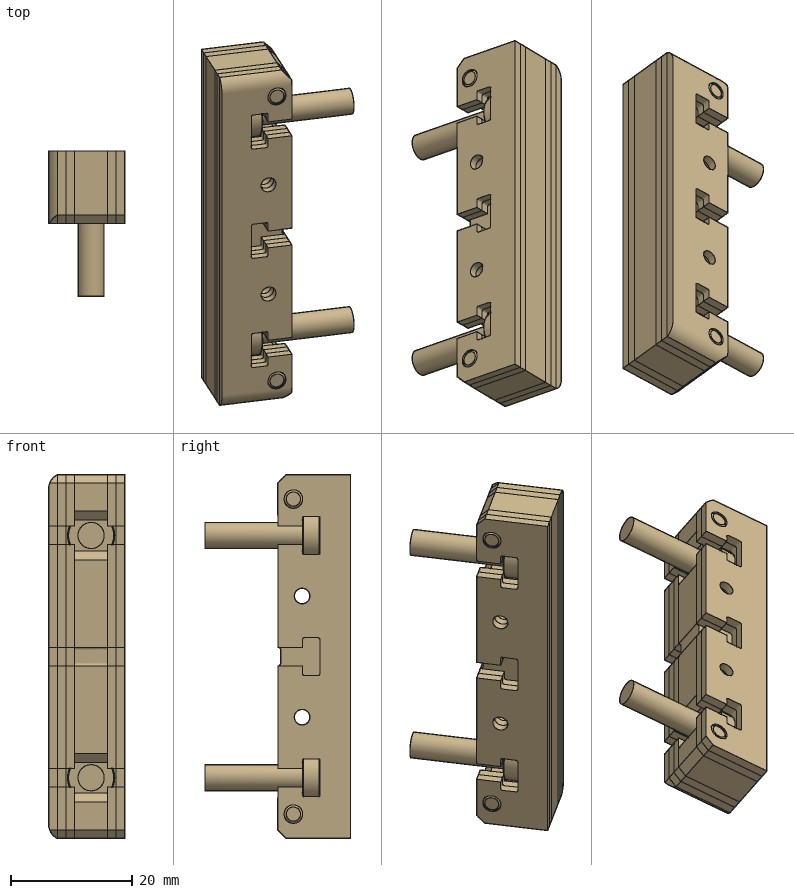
import cadquery as cq
import math

height = 60.0
depth = 12.0
plate_thickness = 1.45
core_thickness = 5.4
front_chamfer = 1.4
cover_round_radius = 2.6

slot_pitch = 20.0
slot_neck_width = 3.05
slot_neck_depth = 4.1
slot_head_width = 6.25
slot_head_depth = 2.9
slot_corner_radius = 0.35

core_neck_width = 5.1
core_pocket_width = 8.05
flare_depth = (core_pocket_width - core_neck_width) / 2
groove_depth = 0.5

bolt_length = 12.0
shank_diameter = 4.3
head_diameter = 7.8
head_chamfer = 0.2

cross_hole_diameter = 2.5
cross_hole_inset = 4.0
cross_hole_z = slot_pitch / 2
pin_diameter = 3.05
pin_inset = 2.6
pin_z = 26.0
pin_chamfer = 0.35

core_left = -core_thickness / 2
core_right = core_thickness / 2
stack_left = core_left - 3 * plate_thickness
stack_right = core_right + 2 * plate_thickness
stack_width = stack_right - stack_left
slot_back = slot_neck_depth + slot_head_depth
bolt_heights = (-slot_pitch, slot_pitch)
slot_heights = (-slot_pitch, 0, slot_pitch)


def block(x_min, x_size, y_min, y_size, z_size, z_center=0.0):
    """Box with its lower X and Y corner given and centred on z_center."""
    box = cq.Workplane("XY").box(x_size, y_size, z_size, centered=(False, False, True))
    return box.translate((x_min, y_min, z_center))


def rod(x_min, length, diameter, y, z):
    """Cylinder along X."""
    return cq.Workplane("YZ", origin=(x_min, y, z)).circle(diameter / 2).extrude(length)


def drilled_blank(x_min, thickness):
    """Full-size plate with chamfered front ends, cross holes and dowel holes."""
    plate = block(x_min, thickness, 0, depth, height)
    plate = plate.faces("<Y").edges("|X").chamfer(front_chamfer)
    for side in (-1, 1):
        cross_hole = rod(x_min, thickness, cross_hole_diameter, cross_hole_inset, side * cross_hole_z)
        pin_hole = rod(x_min, thickness, pin_diameter, pin_inset, side * pin_z)
        plate = plate.cut(cross_hole).cut(pin_hole)
    return plate


def slotted_plate(x_min):
    """Thin plate with three T-slots."""
    plate = drilled_blank(x_min, plate_thickness)
    for z in slot_heights:
        neck = block(x_min, plate_thickness, 0, slot_neck_depth, slot_neck_width, z)
        head = block(x_min, plate_thickness, slot_neck_depth, slot_head_depth, slot_head_width, z)
        head = head.edges("|X").fillet(slot_corner_radius)
        plate = plate.cut(neck).cut(head)
    return plate


def cover_plate(x_min):
    """Slotted plate whose outer top and bottom edges are cut back by a large-radius arc."""
    arc_height = math.sqrt(cover_round_radius**2 - (cover_round_radius - plate_thickness) ** 2)
    arc_start_z = height / 2 - arc_height
    top_waste = (
        cq.Workplane("XZ")
        .moveTo(x_min, arc_start_z)
        .radiusArc((x_min + plate_thickness, height / 2), cover_round_radius)
        .lineTo(x_min, height / 2)
        .close()
        .extrude(-depth)
    )
    return slotted_plate(x_min).cut(top_waste).cut(top_waste.mirror("XY"))


def core_plate():
    """Thick middle plate with two flared bolt pockets and a shallow round-cornered groove."""
    core = drilled_blank(core_left, core_thickness)
    half_neck = core_neck_width / 2
    half_pocket = core_pocket_width / 2
    half_outline = [
        (0, half_pocket),
        (flare_depth, half_neck),
        (slot_neck_depth, half_neck),
        (slot_neck_depth, half_pocket),
        (slot_back, half_pocket),
    ]
    outline = half_outline + [(y, -z) for y, z in reversed(half_outline)]
    pocket = cq.Workplane("YZ", origin=(core_left, 0, 0)).polyline(outline).close().extrude(core_thickness)
    for z in bolt_heights:
        core = core.cut(pocket.translate((0, 0, z)))

    half_groove = slot_neck_width / 2
    groove = (
        cq.Workplane("YZ", origin=(core_left, 0, 0))
        .moveTo(0, -half_groove)
        .radiusArc((groove_depth, -half_groove + groove_depth), -groove_depth)
        .lineTo(groove_depth, half_groove - groove_depth)
        .radiusArc((0, half_groove), -groove_depth)
        .close()
        .extrude(core_thickness)
    )
    return core.cut(groove)


def bolt(z):
    """Bolt along Y whose head fills the depth of the slots."""
    head = (
        cq.Workplane("XZ", origin=(0, slot_back, z))
        .circle(head_diameter / 2)
        .extrude(slot_head_depth)
        .edges()
        .chamfer(head_chamfer)
    )
    shank = (
        cq.Workplane("XZ", origin=(0, slot_neck_depth, z))
        .circle(shank_diameter / 2)
        .extrude(slot_neck_depth + bolt_length)
    )
    return head.union(shank)


def dowel_pin(z):
    """Pin with chamfered ends that lies through all the plates."""
    return rod(stack_left, stack_width, pin_diameter, pin_inset, z).edges("%CIRCLE").chamfer(pin_chamfer)


cover = cover_plate(stack_left)
inner_plate_positions = (
    stack_left + plate_thickness,
    stack_left + 2 * plate_thickness,
    core_right,
    core_right + plate_thickness,
)
inner_plates = [slotted_plate(x) for x in inner_plate_positions]
core = core_plate()
bolts = [bolt(z) for z in bolt_heights]
dowel_pins = [dowel_pin(z) for z in (-pin_z, pin_z)]

bodies = [cover, core, *inner_plates, *bolts, *dowel_pins]
result = cq.Compound.makeCompound([body.val() for body in bodies])